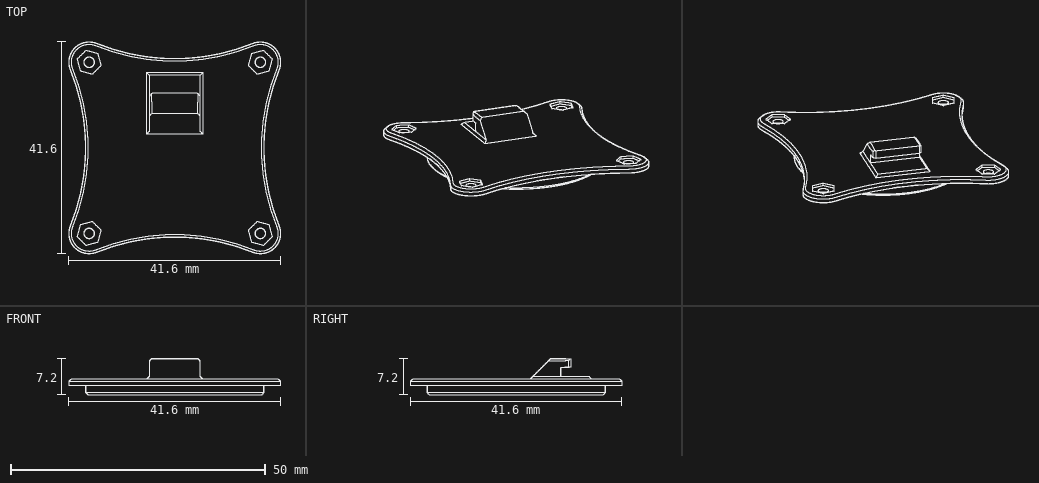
import cadquery as cq
import math

disc_diameter = 35.0
disc_height = 1.9
edge_chamfer = 0.5

plate_thickness = 1.3
hole_offset = 16.79
corner_radius = 4.0
waist_half_width = disc_diameter / 2
plate_top = disc_height + plate_thickness

hole_diameter = 2.0
nut_across_flats = 4.2
nut_depth = 0.5
nut_sides = 6
nut_angle = 45.0

clip_half_width = 5.0
clip_front_y = 2.75
clip_height = 4.0
pad_height = 0.5
pad_back_y = 14.75
stem_back_y = 8.75
tip_length = 2.0
tip_underside_rise = 2.2
tip_taper = 0.1
clip_chamfer = 0.5

clip_top = plate_top + clip_height
tip_end_y = stem_back_y + tip_length


def quarter_turned(x, y, turns):
    """Point turned clockwise about the origin by a number of quarter turns."""
    for _ in range(turns):
        x, y = y, -x
    return x, y


def make_plate():
    """Plate whose convex corners run tangentially into concave sides."""
    gap = hole_offset - waist_half_width
    side_radius = (hole_offset**2 + gap**2 - corner_radius**2) / (2 * (corner_radius + gap))
    side_centre = waist_half_width + side_radius

    radius_share = corner_radius / (corner_radius + side_radius)
    near = hole_offset * (1 - radius_share)
    far = hole_offset + (side_centre - hole_offset) * radius_share
    corner_tip = hole_offset + corner_radius / math.sqrt(2)

    outline = cq.Workplane("XY").workplane(offset=disc_height).moveTo(near, far)
    for quarter in range(4):
        middle_of_corner = quarter_turned(corner_tip, corner_tip, quarter)
        end_of_corner = quarter_turned(far, near, quarter)
        middle_of_side = quarter_turned(waist_half_width, 0, quarter)
        end_of_side = quarter_turned(far, -near, quarter)
        outline = outline.threePointArc(middle_of_corner, end_of_corner)
        outline = outline.threePointArc(middle_of_side, end_of_side)
    return outline.close().extrude(plate_thickness).faces(">Z").chamfer(edge_chamfer)


def make_disc():
    """Round base below the plate, chamfered around its bottom edge."""
    disc = cq.Workplane("XY").circle(disc_diameter / 2).extrude(disc_height)
    return disc.faces("<Z").chamfer(edge_chamfer)


def make_pad():
    """Raised pad with 45 degree flanks; its front flank continues the clip's slope."""
    front_at_top = clip_front_y + pad_height
    back_at_top = pad_back_y - pad_height
    return (
        cq.Workplane("XY")
        .center(0, (clip_front_y + pad_back_y) / 2)
        .workplane(offset=plate_top)
        .rect(2 * (clip_half_width + pad_height), pad_back_y - clip_front_y)
        .workplane(offset=pad_height)
        .rect(2 * clip_half_width, back_at_top - front_at_top)
        .loft(ruled=True)
    )


def make_clip():
    """Sloped wedge with a tapered tip overhanging the back of the pad."""
    underside = plate_top + tip_underside_rise
    profile = [
        (clip_front_y, plate_top),
        (clip_front_y + clip_height, clip_top),
        (stem_back_y, clip_top),
        (tip_end_y, clip_top - tip_taper),
        (tip_end_y, underside + tip_taper),
        (stem_back_y, underside),
        (stem_back_y, plate_top),
    ]
    wedge = cq.Workplane("YZ").polyline(profile).close().extrude(clip_half_width, both=True)

    bevelled = (
        cq.Workplane("XY")
        .box(2 * clip_half_width, tip_end_y, clip_top, centered=(True, False, False))
        .edges("|Y and >Z")
        .chamfer(clip_chamfer)
    )

    bevel_start_y = tip_end_y - clip_chamfer
    right_side = [
        (clip_half_width, clip_front_y),
        (clip_half_width, stem_back_y),
        (clip_half_width - tip_taper, bevel_start_y),
        (clip_half_width - tip_taper - clip_chamfer, tip_end_y),
    ]
    left_side = [(-x, y) for x, y in reversed(right_side)]
    plan = cq.Workplane("XY").polyline(right_side + left_side).close().extrude(clip_top)

    return wedge.intersect(bevelled).intersect(plan)


def cut_nut_holes(body):
    """Through holes at the corners, each with a hexagonal pocket from above."""
    nut_across_corners = nut_across_flats / math.cos(math.pi / nut_sides)
    for x_side in (-1, 1):
        for y_side in (-1, 1):
            centre = (x_side * hole_offset, y_side * hole_offset, 0)
            hole = cq.Workplane("XY").circle(hole_diameter / 2).extrude(plate_top)
            pocket = cq.Workplane("XY").polygon(nut_sides, nut_across_corners).extrude(nut_depth)
            pocket = pocket.rotate((0, 0, 0), (0, 0, 1), -x_side * y_side * nut_angle)
            pocket = pocket.translate((0, 0, plate_top - nut_depth))
            body = body.cut(hole.union(pocket).translate(centre))
    return body


body = make_disc().union(make_plate()).union(make_pad()).union(make_clip())
result = cut_nut_holes(body)